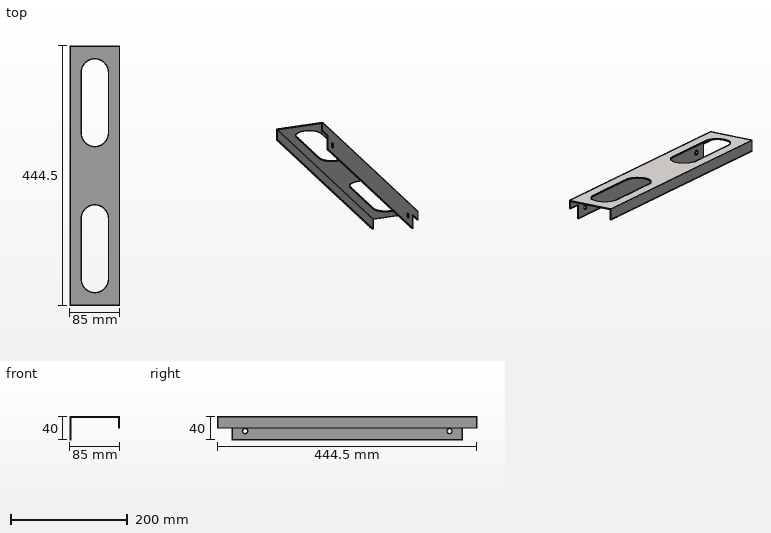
import cadquery as cq

length = 444.5
width = 85.0
height = 40.0
thickness = 2.0

short_flange_depth = 20.0
notch_top_depth = 15.0
notch_length = 25.0

slot_length = 150.2
slot_width = 46.2
slot_spacing = 250.3

hole_diameter = 8.5
hole_spacing = 350.3
hole_depth_from_top = 25.0

top_z = height / 2
left_x = -width / 2
right_x = width / 2


def make_channel():
    """Extrude the unequal-leg channel section along Y."""
    profile = [
        (left_x, top_z),
        (right_x, top_z),
        (right_x, top_z - short_flange_depth),
        (right_x - thickness, top_z - short_flange_depth),
        (right_x - thickness, top_z - thickness),
        (left_x + thickness, top_z - thickness),
        (left_x + thickness, top_z - height),
        (left_x, top_z - height),
    ]
    return cq.Workplane("XZ").polyline(profile).close().extrude(length / 2, both=True)


def make_slots():
    """Two round-ended cutters through the web."""
    return (
        cq.Workplane("XY", origin=(0, 0, top_z - thickness))
        .pushPoints([(0, -slot_spacing / 2), (0, slot_spacing / 2)])
        .slot2D(slot_length, slot_width, angle=90)
        .extrude(thickness)
    )


def make_end_notches():
    """Cutters removing the lower corners of the tall flange at both ends."""
    notch_height = height - notch_top_depth
    notch_y = (length - notch_length) / 2
    return (
        cq.Workplane("XY", origin=(left_x + thickness / 2, 0, -top_z + notch_height / 2))
        .pushPoints([(0, -notch_y), (0, notch_y)])
        .box(thickness, notch_length, notch_height)
    )


def make_flange_holes():
    """Two round cutters through the tall flange."""
    return (
        cq.Workplane("YZ", origin=(left_x, 0, top_z - hole_depth_from_top))
        .pushPoints([(-hole_spacing / 2, 0), (hole_spacing / 2, 0)])
        .circle(hole_diameter / 2)
        .extrude(thickness)
    )


result = make_channel().cut(make_slots()).cut(make_end_notches()).cut(make_flange_holes())